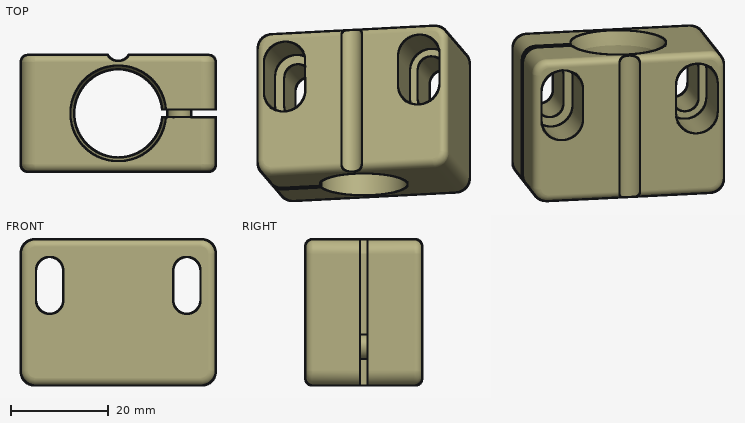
import cadquery as cq

LENGTH = 40.0
DEPTH = 24.0
HEIGHT = 30.0
CORNER_RADIUS = 3.0
EDGE_RADIUS = 1.55

BORE_DIAMETER = 18.0
MOUTH_DIAMETER = 19.6
MOUTH_DEPTH = 3.0

SLIT_WIDTH = 1.5
PIN_DIAMETER = 5.0
PIN_X = 12.5
PIN_Z = -7.0

SLOT_WIDTH = 5.5
SLOT_LENGTH = 11.6
SLOT_SPACING = 28.1
SLOT_Z = 5.5

RECESS_WIDTH = 8.7
RECESS_LENGTH = SLOT_LENGTH + RECESS_WIDTH - SLOT_WIDTH
RECESS_DEPTH = 12.0

GROOVE_DIAMETER = 5.0
GROOVE_DEPTH = 1.25


def make_block():
    """Block with rounded corners about Y and rolled front and back rims."""
    block = cq.Workplane("XY").box(LENGTH, DEPTH, HEIGHT)
    block = block.edges("|Y").fillet(CORNER_RADIUS)
    return block.faces("<Y or >Y").edges().fillet(EDGE_RADIUS)


def make_bore():
    """Through bore with its tapered upper mouth."""
    bore = cq.Workplane("XY").circle(BORE_DIAMETER / 2).extrude(HEIGHT, both=True)
    mouth = (
        cq.Workplane("XY", origin=(0, 0, HEIGHT / 2 - MOUTH_DEPTH))
        .circle(BORE_DIAMETER / 2)
        .workplane(offset=MOUTH_DEPTH)
        .circle(MOUTH_DIAMETER / 2)
        .loft()
    )
    return bore.union(mouth)


def make_slit():
    """Full-height slit from the bore to the +X side."""
    return cq.Workplane("XY").box(LENGTH, SLIT_WIDTH, HEIGHT, centered=(False, True, True))


def make_pin():
    """Pin along Y joining the two sides of the slit."""
    return (
        cq.Workplane("XZ", origin=(PIN_X, SLIT_WIDTH, PIN_Z))
        .circle(PIN_DIAMETER / 2)
        .extrude(2 * SLIT_WIDTH)
    )


def make_slots(length, width, start_y, depth):
    """Pair of upright slotted cutters running from start_y toward -Y."""
    return (
        cq.Workplane("XZ", origin=(0, start_y, SLOT_Z))
        .pushPoints([(-SLOT_SPACING / 2, 0), (SLOT_SPACING / 2, 0)])
        .slot2D(length, width, 90)
        .extrude(depth)
    )


def make_groove():
    """Shallow round groove along the full height of the back face."""
    axis_y = DEPTH / 2 - GROOVE_DEPTH + GROOVE_DIAMETER / 2
    return (
        cq.Workplane("XY", origin=(0, axis_y, 0))
        .circle(GROOVE_DIAMETER / 2)
        .extrude(HEIGHT, both=True)
    )


through_slots = make_slots(SLOT_LENGTH, SLOT_WIDTH, DEPTH / 2, DEPTH)
recesses = make_slots(RECESS_LENGTH, RECESS_WIDTH, DEPTH / 2, RECESS_DEPTH)

result = make_block().cut(make_bore()).cut(make_slit()).union(make_pin())
result = result.cut(through_slots).cut(recesses).cut(make_groove())